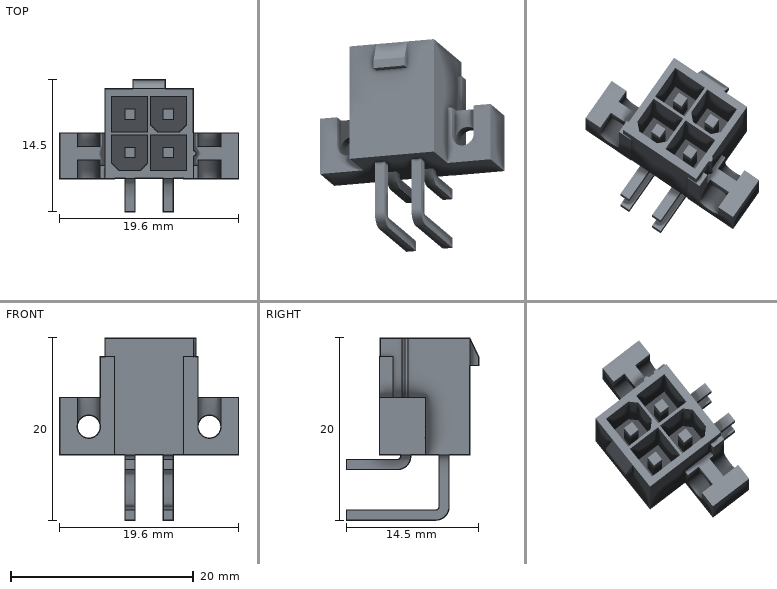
import cadquery as cq


housing_width = 9.7
housing_depth = 9.84
housing_height = 12.8
housing_right = housing_width / 2
housing_back = housing_depth / 2

pitch = 4.2
grid_signs = (-1, 1)
cavity_width = 3.93
cavity_depth = 3.9
cavity_pitch_x = 4.26
cavity_floor = 3.0
cavity_chamfer = 0.78

pin_size = 1.13
pin_top = 9.0
pin_tip_y = -8.6
pin_inner_bend = 0.37
pin_outer_bend = pin_inner_bend + pin_size
pin_lowest = -7.16
row_drop = 5.54

ear_span = 19.61
ear_height = 6.3
ear_back = 0.05
ear_front = -4.99
ear_web_back = -1.45
ear_web_front = -2.94
ear_inner_x = 3.78
screw_x = 6.61
screw_z = 3.1
screw_radius = 1.25

rib_outer_x = screw_x - screw_radius
rib_depth = 1.5
rib_height = 10.78

latch_width = 3.56
latch_reach = 0.98
latch_bottom = 9.8
latch_ramp_bottom = 10.75

key_half_width = 0.32
key_reach = 0.3
key_flank_radius = 0.45
key_y = (ear_web_back + ear_web_front) / 2


def box(x_range, y_range, z_range):
    """Axis-aligned block spanning the given coordinate ranges."""
    size = [high - low for low, high in (x_range, y_range, z_range)]
    corner = (x_range[0], y_range[0], z_range[0])
    return cq.Workplane("XY").box(*size, centered=False).translate(corner)


def make_housing():
    return cq.Workplane("XY").box(
        housing_width, housing_depth, housing_height, centered=(True, True, False)
    )


def make_cavity(column, row):
    """Mating cavity; the two on one diagonal are keyed by chamfered front corners."""
    cavity = (
        cq.Workplane("XY", origin=(column * cavity_pitch_x / 2, row * pitch / 2, cavity_floor))
        .rect(cavity_width, cavity_depth)
        .extrude(housing_height - cavity_floor)
    )
    if column == row:
        cavity = cavity.faces("<Y").edges("|Z").chamfer(cavity_chamfer)
    return cavity


def make_pin(column, row):
    """Square pin that drops out of the base and bends forward; the back row drops lower."""
    center_y = row * pitch / 2
    back = center_y + pin_size / 2
    front = center_y - pin_size / 2
    bottom = pin_lowest if row > 0 else pin_lowest + row_drop
    return (
        cq.Workplane("YZ", origin=(column * pitch / 2 - pin_size / 2, 0, 0))
        .moveTo(back, pin_top)
        .lineTo(back, bottom + pin_outer_bend)
        .radiusArc((back - pin_outer_bend, bottom), pin_outer_bend)
        .lineTo(pin_tip_y, bottom)
        .lineTo(pin_tip_y, bottom + pin_size)
        .lineTo(front - pin_inner_bend, bottom + pin_size)
        .radiusArc((front, bottom + pin_outer_bend), -pin_inner_bend)
        .lineTo(front, pin_top)
        .close()
        .extrude(pin_size)
    )


def make_screw_recess(y_range):
    """U-shaped recess, round at the bottom and open at the top of the ear."""
    front, back = y_range
    round_bottom = make_screw_hole(y_range)
    opening = box(
        (screw_x - screw_radius, screw_x + screw_radius), (front, back), (screw_z, ear_height)
    )
    return round_bottom.union(opening)


def make_screw_hole(y_range):
    front, back = y_range
    return (
        cq.Workplane("XZ", origin=(screw_x, back, screw_z))
        .circle(screw_radius)
        .extrude(back - front)
    )


def make_right_ear():
    """Ear, its screw hole through the web and the tall rib beside the housing."""
    ear = box((ear_inner_x, ear_span / 2), (ear_front, ear_back), (0, ear_height))
    rib = box((ear_inner_x, rib_outer_x), (ear_front, ear_front + rib_depth), (0, rib_height))
    return (
        ear.union(rib)
        .cut(make_screw_recess((ear_front, ear_web_front)))
        .cut(make_screw_recess((ear_web_back, ear_back)))
        .cut(make_screw_hole((ear_front, ear_back)))
    )


def make_latch():
    return (
        cq.Workplane("YZ", origin=(-latch_width / 2, 0, 0))
        .moveTo(housing_back, housing_height)
        .lineTo(housing_back + latch_reach, latch_ramp_bottom)
        .lineTo(housing_back + latch_reach, latch_bottom)
        .lineTo(housing_back, latch_bottom)
        .close()
        .extrude(latch_width)
    )


def make_key():
    """Full-height rib with two convex flanks meeting at a blunt ridge."""
    return (
        cq.Workplane("XY", origin=(housing_right, key_y, 0))
        .moveTo(0, key_half_width)
        .radiusArc((key_reach, 0), key_flank_radius)
        .radiusArc((0, -key_half_width), key_flank_radius)
        .close()
        .extrude(housing_height)
    )


right_ear = make_right_ear()
result = (
    make_housing()
    .union(right_ear)
    .union(right_ear.mirror("YZ"))
    .union(make_latch())
    .union(make_key())
)

grid = [(column, row) for column in grid_signs for row in grid_signs]
for column, row in grid:
    result = result.cut(make_cavity(column, row))
for column, row in grid:
    result = result.union(make_pin(column, row))